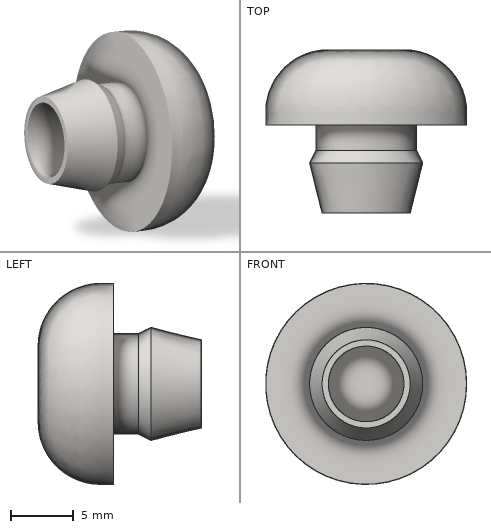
import cadquery as cq
import math

head_radius = 8.0
rim_height = 1.0
dome_radius = 5.0
crown_radius = head_radius - dome_radius

stem_radius = 4.0
stem_length = 2.0
barb_radius = 4.5
barb_shoulder_length = 1.0
tip_radius = 3.5
tip_taper_length = 4.0
bore_radius = 3.0

crown_y = rim_height + dome_radius
shoulder_y = -stem_length
barb_y = shoulder_y - barb_shoulder_length
tip_y = barb_y - tip_taper_length

dome_mid_offset = dome_radius * math.sin(math.radians(45))
dome_mid = (crown_radius + dome_mid_offset, rim_height + dome_mid_offset)

half_section = (
    cq.Workplane("XY")
    .moveTo(0, 0)
    .lineTo(bore_radius, 0)
    .lineTo(bore_radius, tip_y)
    .lineTo(tip_radius, tip_y)
    .lineTo(barb_radius, barb_y)
    .lineTo(stem_radius, shoulder_y)
    .lineTo(stem_radius, 0)
    .lineTo(head_radius, 0)
    .lineTo(head_radius, rim_height)
    .threePointArc(dome_mid, (crown_radius, crown_y))
    .lineTo(0, crown_y)
    .close()
)

result = half_section.revolve(360, (0, 0, 0), (0, 1, 0))